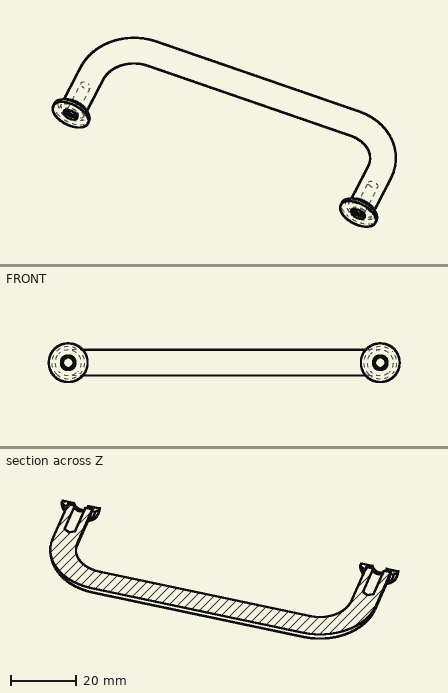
import cadquery as cq

overall_length = 108.0
overall_depth = 35.0

flange_diameter = 12.0
flange_thickness = 2.0
flange_chamfer = 1.0
flange_hole_diameter = 4.5
foot_seat_y = 1.0

bar_diameter = 8.0
bend_radius = 14.0

screw_hole_diameter = 3.2
countersink_diameter = 4.0
screw_hole_depth = 11.0
drill_point_depth = 1.0

foot_x = (overall_length - flange_diameter) / 2
grip_y = overall_depth - bar_diameter / 2
bend_start_y = grip_y - bend_radius
grip_end_x = foot_x - bend_radius
bend_mid_offset = bend_radius * 0.5 ** 0.5


def make_screw_hole(x):
    """Cutter for one countersunk blind hole, along the foot axis at x."""
    hole_radius = screw_hole_diameter / 2
    mouth_radius = countersink_diameter / 2
    countersink_depth = mouth_radius - hole_radius
    profile = (
        cq.Workplane("XY", origin=(x, foot_seat_y, 0))
        .lineTo(mouth_radius, 0)
        .lineTo(hole_radius, countersink_depth)
        .lineTo(hole_radius, screw_hole_depth)
        .lineTo(0, screw_hole_depth + drill_point_depth)
        .close()
    )
    return profile.revolve(360, (0, 0, 0), (0, 1, 0))


def make_handle():
    """Round bar swept along a U-shaped path, with a screw hole in each foot."""
    path = (
        cq.Workplane("XY")
        .moveTo(-foot_x, foot_seat_y)
        .lineTo(-foot_x, bend_start_y)
        .threePointArc(
            (-grip_end_x - bend_mid_offset, bend_start_y + bend_mid_offset),
            (-grip_end_x, grip_y),
        )
        .lineTo(grip_end_x, grip_y)
        .threePointArc(
            (grip_end_x + bend_mid_offset, bend_start_y + bend_mid_offset),
            (foot_x, bend_start_y),
        )
        .lineTo(foot_x, foot_seat_y)
    )
    bar = (
        cq.Workplane("XZ", origin=(-foot_x, foot_seat_y, 0))
        .circle(bar_diameter / 2)
        .sweep(path)
    )
    for x in (-foot_x, foot_x):
        bar = bar.cut(make_screw_hole(x))
    return bar


def make_flange(x):
    """Washer on the mounting face, with a chamfered rim and a recess for the foot."""
    disc = (
        cq.Workplane("XZ", origin=(x, 0, 0))
        .circle(flange_diameter / 2)
        .extrude(-flange_thickness)
        .faces(">Y")
        .edges()
        .chamfer(flange_chamfer)
    )
    screw_clearance = (
        cq.Workplane("XZ", origin=(x, 0, 0))
        .circle(flange_hole_diameter / 2)
        .extrude(-flange_thickness)
    )
    foot_recess = (
        cq.Workplane("XZ", origin=(x, foot_seat_y, 0))
        .circle(bar_diameter / 2)
        .extrude(foot_seat_y - flange_thickness)
    )
    return disc.cut(screw_clearance).cut(foot_recess)


handle = make_handle()
flanges = [make_flange(x) for x in (-foot_x, foot_x)]

result = cq.Compound.makeCompound([handle.val(), *[flange.val() for flange in flanges]])